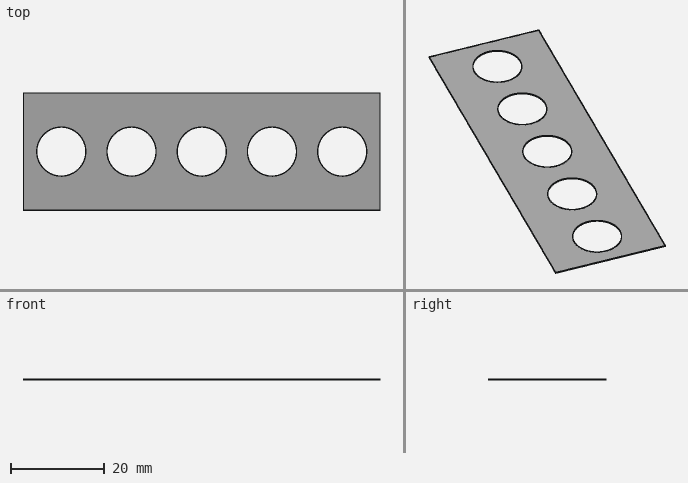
import cadquery as cq

length = 76.0
width = 25.0
thickness = 0.25

hole_count = 5
hole_diameter = 10.4
hole_pitch = 15.0

strip = cq.Workplane("XY").box(length, width, thickness)

result = (
    strip.faces(">Z")
    .workplane()
    .rarray(hole_pitch, width, hole_count, 1)
    .hole(hole_diameter)
)